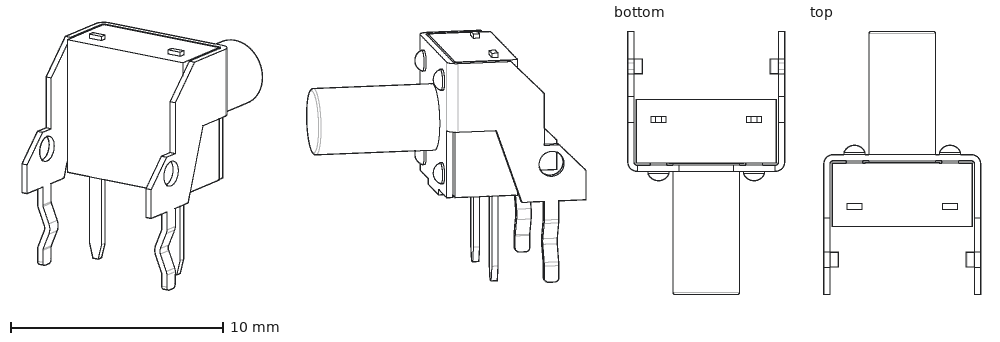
import cadquery as cq
import math


sheet = 0.3
bracket_width = 7.4
bracket_height = 6.8
bend_inner_radius = 0.15
bend_outer_radius = bend_inner_radius + sheet
half_width = bracket_width / 2

side_depth = 6.6
side_upper_depth = 4.6
side_top_chamfer = 1.6
ear_height = 2.7
ear_chamfer = 1.28
notch_height = 3.5
notch_top_depth = 2.3
notch_bottom_depth = 3.53
ear_hole_diameter = 1.2
ear_hole_height = 1.8

leg_width = 0.7
leg_length = 3.9
leg_depth = side_upper_depth + leg_width / 2
leg_tip_radius = 0.2
kink_start = 0.98
kink_middle = 2.0
kink_offset = 0.43
crown_inner_radius = 0.35

body_clearance = 0.1
front_tab_width = 2.55

body_width = 6.6
body_height = 6.53
body_depth = 3.0
body_front = -(sheet + body_clearance)
body_bottom = bracket_height - body_height

button_diameter = 3.14
button_length = 5.8
button_edge_radius = 0.1
collar_diameter = 3.5
collar_thickness = 0.03
button_height = 3.5

rivet_spacing = 4.5
rivet_head_diameter = 1.0
rivet_rim = 0.1
rivet_dome = 0.34
rivet_shank_diameter = 0.8

pin_width = 0.7
pin_thickness = 0.3
pin_spacing = 4.5
pin_depth = 2.45
pin_top = 7.0
pin_bottom = -4.0
pin_tip_width = 0.3
pin_tip_length = 0.75


def block(x_range, y_range, z_range):
    """Axis-aligned box between the given pairs of limits."""
    return (
        cq.Workplane("XY")
        .box(
            x_range[1] - x_range[0],
            y_range[1] - y_range[0],
            z_range[1] - z_range[0],
            centered=False,
        )
        .translate((x_range[0], y_range[0], z_range[0]))
    )


def cylinder_along_y(diameter, y_start, y_end, x, z):
    """Round bar parallel to Y."""
    return (
        cq.Workplane("XZ", origin=(x, y_start, z))
        .circle(diameter / 2)
        .extrude(y_start - y_end)
    )


def make_bent_sheet():
    """U-shaped sheet with rounded bends, before its outline is trimmed."""
    outer = block((-half_width, half_width), (-side_depth, 0), (0, bracket_height))
    outer = outer.edges("|Z and >Y").fillet(bend_outer_radius)
    inner_half = half_width - sheet
    inner = block((-inner_half, inner_half), (-side_depth, -sheet), (0, bracket_height))
    inner = inner.edges("|Z and >Y").fillet(bend_inner_radius)
    return outer.cut(inner)


def make_side_outline():
    """Side-plate silhouette as a prism across the whole bracket width."""
    outline = [
        (0, bracket_height),
        (-(side_upper_depth - side_top_chamfer), bracket_height),
        (-side_upper_depth, bracket_height - side_top_chamfer),
        (-side_upper_depth, ear_height),
        (-(side_depth - ear_chamfer), ear_height),
        (-side_depth, ear_height - ear_chamfer),
        (-side_depth, 0),
        (-notch_bottom_depth, 0),
        (-notch_top_depth, notch_height),
        (0, notch_height),
    ]
    prism = cq.Workplane("YZ").polyline(outline).close().extrude(half_width, both=True)
    ear_hole = (
        cq.Workplane("YZ")
        .center(-leg_depth, ear_hole_height)
        .circle(ear_hole_diameter / 2)
        .extrude(half_width, both=True)
    )
    return prism.cut(ear_hole)


def make_lower_front():
    """Front plate below the side notches, with the narrow tab at its lower edge."""
    flat_half = half_width - bend_outer_radius
    tab_half = front_tab_width / 2
    plate = block((-flat_half, flat_half), (-sheet, 0), (body_bottom, notch_height))
    tab = block((-tab_half, tab_half), (-sheet, 0), (0, body_bottom))
    return plate.union(tab)


def make_leg():
    """Kinked leg under the -X side plate."""
    kink_end = 2 * kink_middle - kink_start
    slope = math.atan2(kink_offset, kink_middle - kink_start)
    inner_shift = sheet * math.tan(slope / 2)
    crown = kink_offset + sheet / math.cos(slope)
    y_front = -(leg_depth - leg_width / 2)
    outer_x = -half_width
    inner_x = outer_x + sheet
    outline = [
        (outer_x, 0),
        (outer_x, -kink_start),
        (outer_x + kink_offset, -kink_middle),
        (outer_x, -kink_end),
        (outer_x, -leg_length),
        (inner_x, -leg_length),
        (inner_x, -kink_end - inner_shift),
        (outer_x + crown, -kink_middle),
        (inner_x, -kink_start + inner_shift),
        (inner_x, 0),
    ]
    leg = (
        cq.Workplane("XZ", origin=(0, y_front, 0))
        .polyline(outline)
        .close()
        .extrude(leg_width)
    )

    def round_bend(solid, corner, radius):
        point = (corner[0], -leg_depth, corner[1])
        return solid.edges(cq.selectors.NearestToPointSelector(point)).fillet(radius)

    leg = round_bend(leg, outline[1], bend_outer_radius)
    leg = round_bend(leg, outline[2], crown_inner_radius)
    leg = round_bend(leg, outline[3], bend_outer_radius)
    leg = round_bend(leg, outline[6], bend_inner_radius)
    leg = round_bend(leg, outline[7], crown_inner_radius + sheet)
    leg = round_bend(leg, outline[8], bend_inner_radius)
    return leg.faces("<Z").edges("|X").fillet(leg_tip_radius)


def make_bracket():
    leg = make_leg()
    bracket = make_bent_sheet().intersect(make_side_outline())
    return bracket.union(make_lower_front()).union(leg).union(leg.mirror("YZ"))


def make_body():
    return block(
        (-body_width / 2, body_width / 2),
        (body_front - body_depth, body_front),
        (body_bottom, bracket_height),
    )


def make_button():
    """Round button with a rounded free end and a thin collar on the body."""
    button = cylinder_along_y(button_diameter, body_front, button_length, 0, button_height)
    button = button.faces(">Y").edges().fillet(button_edge_radius)
    collar_front = body_front + collar_thickness
    collar = cylinder_along_y(collar_diameter, body_front, collar_front, 0, button_height)
    return button.union(collar)


def make_rivet(x, z):
    """Domed head on the front plate with a shank reaching back to the body."""
    head_radius = rivet_head_diameter / 2
    sphere_radius = (head_radius**2 + rivet_dome**2) / (2 * rivet_dome)
    sphere_center = rivet_rim + rivet_dome - sphere_radius
    half_angle = math.asin(head_radius / sphere_radius) / 2
    arc_middle = (
        sphere_radius * math.sin(half_angle),
        sphere_center + sphere_radius * math.cos(half_angle),
    )
    head = (
        cq.Workplane("XY")
        .moveTo(0, 0)
        .lineTo(head_radius, 0)
        .lineTo(head_radius, rivet_rim)
        .threePointArc(arc_middle, (0, rivet_rim + rivet_dome))
        .close()
        .revolve(360, (0, 0, 0), (0, 1, 0))
        .translate((x, 0, z))
    )
    shank = cylinder_along_y(rivet_shank_diameter, body_front, 0, x, z)
    return head.union(shank)


def make_pin(x):
    """Flat pin through the body, tapered at its lower end."""
    half_pin = pin_width / 2
    half_tip = pin_tip_width / 2
    taper_start = pin_bottom + pin_tip_length
    outline = [
        (x - half_pin, pin_top),
        (x + half_pin, pin_top),
        (x + half_pin, taper_start),
        (x + half_tip, pin_bottom),
        (x - half_tip, pin_bottom),
        (x - half_pin, taper_start),
    ]
    return (
        cq.Workplane("XZ", origin=(0, -pin_depth, 0))
        .polyline(outline)
        .close()
        .extrude(pin_thickness / 2, both=True)
    )


result = make_body().union(make_bracket()).union(make_button())
for side in (-1, 1):
    result = result.union(make_pin(side * pin_spacing / 2))
    for level in (-1, 1):
        rivet_x = side * rivet_spacing / 2
        rivet_z = button_height + level * rivet_spacing / 2
        result = result.union(make_rivet(rivet_x, rivet_z))